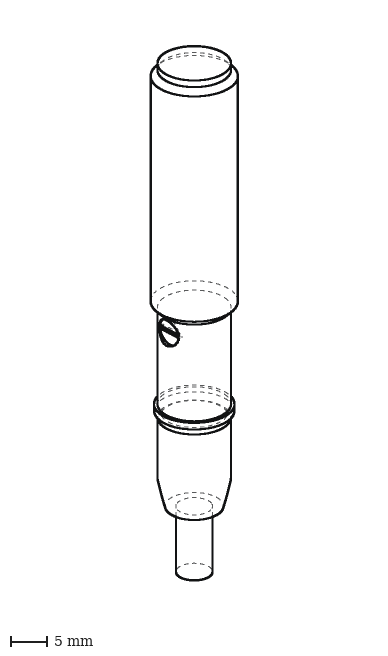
import cadquery as cq

total_height = 79.0
sleeve_radius = 6.0
body_radius = 5.05
flange_radius = 5.5
nose_mid_radius = 4.6
nose_tip_radius = 4.0
stem_radius = 2.5

nose_tip_z = 10.2
nose_mid_z = 12.3
nose_top_z = 14.5
groove_bottom_z = 24.0
flange_bottom_z = 25.05
flange_height = 1.0
sleeve_bottom_z = 41.1

shoulder = sleeve_radius - body_radius
cap_height = 1.0

screw_radius = 2.0
screw_z = 38.9
screw_face_radius = 4.5
slot_width = 0.5
slot_depth = 0.5

flange_top_z = flange_bottom_z + flange_height
cap_bottom_z = total_height - cap_height
groove_radius = (flange_bottom_z - groove_bottom_z) / 2
groove_center_z = (flange_bottom_z + groove_bottom_z) / 2


def turned_body():
    """Revolve the half profile, given as radius and height, about Z."""
    profile = (
        cq.Workplane("XZ")
        .moveTo(0, 0)
        .lineTo(stem_radius, 0)
        .lineTo(stem_radius, nose_tip_z)
        .lineTo(nose_tip_radius, nose_tip_z)
        .lineTo(nose_mid_radius, nose_mid_z)
        .lineTo(body_radius, nose_top_z)
        .lineTo(body_radius, groove_bottom_z)
        .threePointArc(
            (body_radius - groove_radius, groove_center_z),
            (body_radius, flange_bottom_z),
        )
        .lineTo(flange_radius, flange_bottom_z)
        .lineTo(flange_radius, flange_top_z)
        .lineTo(body_radius, flange_top_z)
        .lineTo(body_radius, sleeve_bottom_z)
        .lineTo(sleeve_radius, sleeve_bottom_z + shoulder)
        .lineTo(sleeve_radius, cap_bottom_z - shoulder)
        .lineTo(body_radius, cap_bottom_z)
        .lineTo(body_radius, total_height)
        .lineTo(0, total_height)
        .close()
    )
    return profile.revolve(360, (0, 0, 0), (0, 1, 0))


def screw_recess():
    """Round pocket from the -Y side down to the flat screw face."""
    return (
        cq.Workplane("XZ", origin=(0, -screw_face_radius, screw_z))
        .circle(screw_radius)
        .extrude(body_radius - screw_face_radius)
    )


def screw_slot():
    """Straight driver slot across the full width of the screw face."""
    slot_floor = screw_face_radius - slot_depth
    pocket = (
        cq.Workplane("XZ", origin=(0, -slot_floor, screw_z))
        .circle(screw_radius)
        .extrude(slot_depth)
    )
    bar = (
        cq.Workplane("XZ", origin=(0, -slot_floor, screw_z))
        .rect(2 * screw_radius, slot_width)
        .extrude(slot_depth)
    )
    return pocket.intersect(bar)


result = turned_body().cut(screw_recess()).cut(screw_slot())